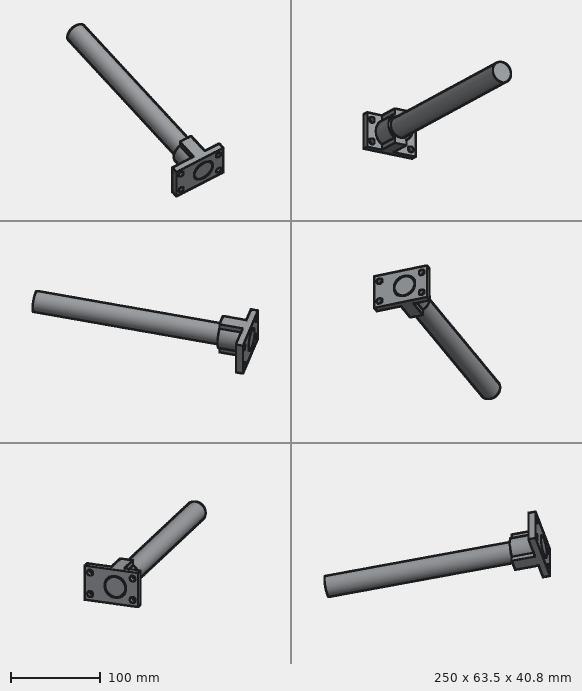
import cadquery as cq

total_length = 250.0

plate_thickness = 8.2
plate_width = 63.5
plate_height = 40.8
plate_offset = -4.8

screw_hole_diameter = 6.8
screw_spacing_y = 50.8
screw_spacing_z = 25.5

socket_diameter = 32.0
socket_length = 27.0
rib_width = 15.2
bore_diameter = 25.8

rod_diameter = 24.0

plate_front = total_length - plate_thickness
socket_front = plate_front - socket_length


def plane_at(x):
    """YZ plane at the given X, with local axes along Y and Z."""
    return cq.Workplane("YZ", origin=(x, 0, 0))


def make_plate():
    """Rectangular plate, offset sideways from the rod axis."""
    return (
        plane_at(plate_front)
        .center(plate_offset, 0)
        .rect(plate_width, plate_height)
        .extrude(plate_thickness)
    )


def make_socket():
    """Round boss crossed by a rib that is as tall as the plate."""
    boss = plane_at(socket_front).circle(socket_diameter / 2).extrude(socket_length)
    rib = plane_at(socket_front).rect(rib_width, plate_height).extrude(socket_length)
    return boss.union(rib)


def make_screw_holes():
    """Cutters for the four screw holes at the plate corners."""
    return (
        plane_at(plate_front)
        .center(plate_offset, 0)
        .rect(screw_spacing_y, screw_spacing_z, forConstruction=True)
        .vertices()
        .circle(screw_hole_diameter / 2)
        .extrude(plate_thickness)
    )


def make_bracket():
    """Plate and socket in one piece, bored right through with clearance for the rod."""
    bore = plane_at(socket_front).circle(bore_diameter / 2).extrude(socket_length + plate_thickness)
    return make_plate().union(make_socket()).cut(bore).cut(make_screw_holes())


def make_rod():
    """Plain round rod, ending flush with the back of the plate."""
    return plane_at(0).circle(rod_diameter / 2).extrude(total_length)


bracket = make_bracket()
rod = make_rod()

result = cq.Compound.makeCompound([bracket.val(), rod.val()])